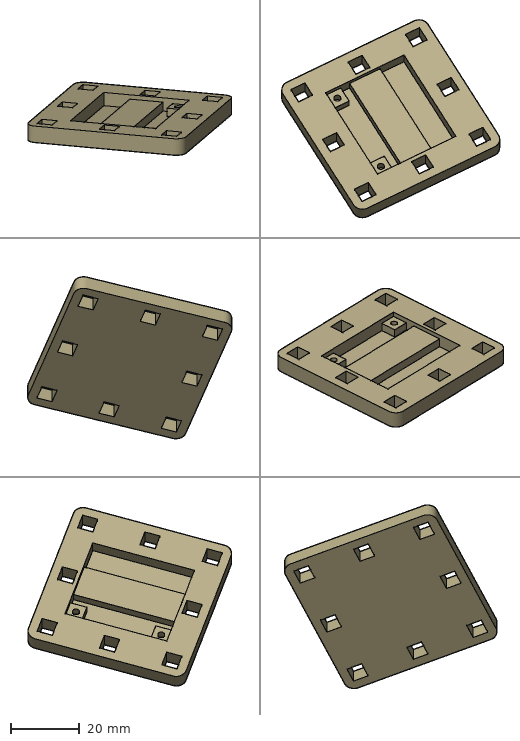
import cadquery as cq

plate_side = 48.25
plate_thickness = 5.0
corner_radius = 3.0

window_side = 4.65
window_pitch = 19.05

pocket_length_x = 26.05
pocket_length_y = 31.15
pocket_depth = 4.0

ridge_width = 10.15
ridge_top_depth = 1.3

boss_side = 5.0
boss_top_depth = 1.5
screw_hole_diameter = 2.0

floor_z = plate_thickness - pocket_depth
ridge_height = pocket_depth - ridge_top_depth
boss_height = pocket_depth - boss_top_depth

boss_x = (pocket_length_x - boss_side) / 2
boss_y = (pocket_length_y - boss_side) / 2
boss_centers = [(boss_x, side * boss_y) for side in (-1, 1)]


def block(length_x, length_y, bottom_z, height):
    """Upright block centred on the Z axis."""
    return cq.Workplane("XY").workplane(offset=bottom_z).rect(length_x, length_y).extrude(height)


def border_windows():
    """Cutters on a 3 x 3 grid with the centre left out."""
    steps = (-1, 0, 1)
    centers = [
        (column * window_pitch, row * window_pitch)
        for column in steps
        for row in steps
        if (column, row) != (0, 0)
    ]
    return (
        cq.Workplane("XY")
        .pushPoints(centers)
        .rect(window_side, window_side)
        .extrude(plate_thickness)
    )


def screw_bosses():
    """Square posts on the pocket floor, drilled down to the floor."""
    floor = cq.Workplane("XY").workplane(offset=floor_z).pushPoints(boss_centers)
    posts = floor.rect(boss_side, boss_side).extrude(boss_height)
    holes = floor.circle(screw_hole_diameter / 2).extrude(boss_height)
    return posts.cut(holes)


plate = block(plate_side, plate_side, 0, plate_thickness).edges("|Z").fillet(corner_radius)
pocket = block(pocket_length_x, pocket_length_y, floor_z, pocket_depth)
ridge = block(ridge_width, pocket_length_y, floor_z, ridge_height)

result = plate.cut(border_windows()).cut(pocket).union(ridge).union(screw_bosses())